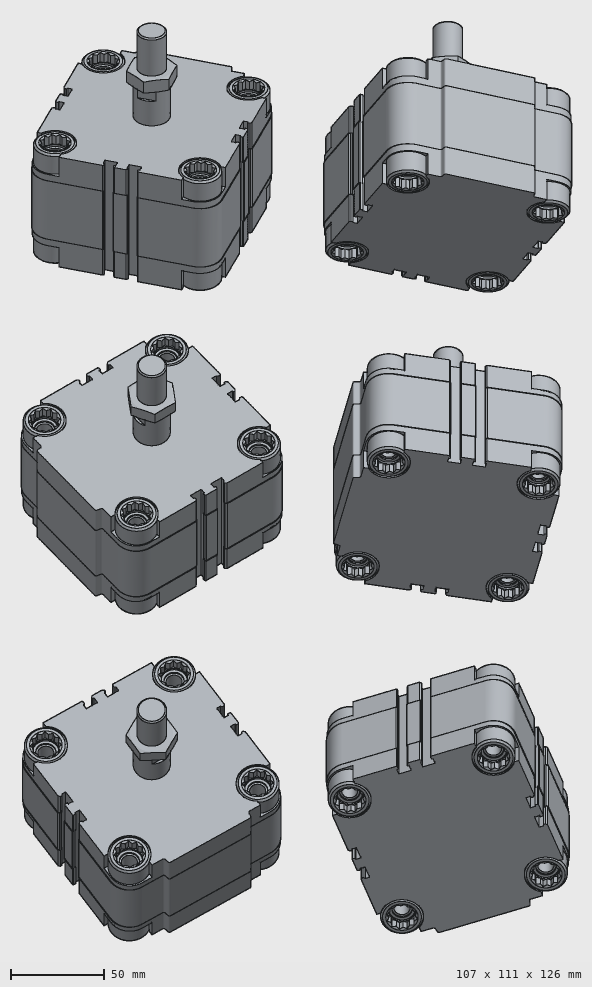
import cadquery as cq
import math


housing_height = 71.1
cap_height = 16.6
barrel_height = housing_height - 2 * cap_height
overall_height = 126

barrel_width = 107.0
barrel_depth = 107.0
cap_width = 106.1
cap_depth = 106.8
barrel_corner_radius = 12.5
cap_corner_radius = 12.1

barrel_pad_face = 57.5
cap_pad_face = 57.3
pad_foot_half_width = 27.0
pad_top_half_width = 26.2
pad_root = 50.4
pad_edge_radius = 1.0

slot_inner = 3.3
slot_outer = 10.3
mouth_inner = 4.2
mouth_outer = 9.5
slot_floor = 48.3
lip_thickness = 1.9
lip_slope = 0.5
slot_overshoot = 1.3
small_edge_chamfer = 0.44
large_edge_chamfer = 0.9

screw_spacing = 81.9
screw_offset = screw_spacing / 2
head_diameter = 23.0
head_height = 12.5
head_chamfer = 1.1
pocket_inset = 6.3
pocket_reach = 25.2
bore_diameter = 8.6
bore_mouth_diameter = 10.8
bore_mouth_depth = 1.0
socket_depth = 7.3
socket_teeth_depth = 6.0
socket_tip_diameter = 16.5
socket_valley_diameter = 14.1
socket_mouth_diameter = 17.4
socket_mouth_depth = 0.6
socket_teeth = 12

rod_bottom = cap_height + barrel_height
rod_diameter = 20.0
thread_diameter = 16.0
thread_chamfer = 0.82
flat_bottom = 87
flat_spacing = 17.0
nut_bottom = 94.0
nut_height = 8.0
nut_across_flats = 24
hexagon_half_angle = 30
nut_across_corners = nut_across_flats / math.cos(math.radians(hexagon_half_angle))
nut_face_diameter = 23.0
nut_chamfer_rise = 0.5


def slot_cutter(face, rib_chamfer, edge_chamfer, height):
    """One T-slot opening toward -Y through the given face, on the +X side of the middle."""
    lip = face - lip_thickness
    outside = face + slot_overshoot
    outline = [
        (slot_inner, -slot_floor),
        (slot_inner, -lip),
        (mouth_inner, -lip),
        (mouth_inner, -(face - rib_chamfer)),
        (mouth_inner - rib_chamfer, -face),
        (mouth_inner - rib_chamfer, -outside),
        (mouth_outer + edge_chamfer, -outside),
        (mouth_outer + edge_chamfer, -face),
        (mouth_outer, -(face - edge_chamfer)),
        (mouth_outer, -lip),
        (slot_outer, -(lip - lip_slope)),
        (slot_outer, -slot_floor),
    ]
    return cq.Workplane("XY").polyline(outline).close().extrude(height)


def slot_pair(face, rib_chamfer, edge_chamfer, height, turn):
    """Two mirrored T-slots, turned about Z from the -Y face to another face."""
    slot = slot_cutter(face, rib_chamfer, edge_chamfer, height)
    return slot.union(slot.mirror("YZ")).rotate((0, 0, 0), (0, 0, 1), turn)


def at_screws(workplane):
    """The four screw axes on a workplane."""
    return workplane.rect(screw_spacing, screw_spacing, forConstruction=True).vertices()


def housing_section(width, depth, pad_face, corner_radius, front_rib_chamfer, height):
    """A length of the housing with its corners, pad, T-slots and screw bores, from Z = 0 up."""
    front_face = depth / 2
    block = cq.Workplane("XY").rect(width, depth).extrude(height)
    block = block.edges("|Z").fillet(corner_radius)

    pad_outline = [
        (-pad_foot_half_width, pad_root),
        (-pad_foot_half_width, front_face),
        (-pad_top_half_width, pad_face),
        (pad_top_half_width, pad_face),
        (pad_foot_half_width, front_face),
        (pad_foot_half_width, pad_root),
    ]
    block = block.union(cq.Workplane("XY").polyline(pad_outline).close().extrude(height))
    pad_margin = 1.3
    pad_edges = cq.selectors.BoxSelector(
        (-pad_foot_half_width - pad_margin, front_face - pad_margin, -pad_margin),
        (pad_foot_half_width + pad_margin, pad_face + pad_margin, height + pad_margin),
    )
    block = block.edges("|Z").edges(pad_edges).fillet(pad_edge_radius)

    block = block.cut(slot_pair(front_face, front_rib_chamfer, small_edge_chamfer, height, 0))
    for turn in (-90, 90):
        block = block.cut(slot_pair(width / 2, small_edge_chamfer, large_edge_chamfer, height, turn))

    bores = at_screws(cq.Workplane("XY")).circle(bore_diameter / 2).extrude(height)
    return block.cut(bores)


def corner_pockets():
    """Clearance around the screw heads, open at the corners of the cap."""
    floor = cap_height - head_height
    box_spacing = 2 * (screw_offset - pocket_inset) + pocket_reach
    boxes = (
        cq.Workplane("XY", origin=(0, 0, floor))
        .rect(box_spacing, box_spacing, forConstruction=True)
        .vertices()
        .rect(pocket_reach, pocket_reach)
        .extrude(head_height)
    )
    rounds = (
        at_screws(cq.Workplane("XY", origin=(0, 0, floor)))
        .circle(head_diameter / 2)
        .extrude(head_height)
    )
    return boxes.union(rounds)


def socket_outline():
    """Points of a twelve-tooth star, alternating between tips and valleys."""
    points = []
    for index in range(2 * socket_teeth):
        diameter = socket_tip_diameter if index % 2 == 0 else socket_valley_diameter
        angle = math.pi * index / socket_teeth
        points.append((diameter / 2 * math.cos(angle), diameter / 2 * math.sin(angle)))
    return points


def screw_head():
    """Screw head with a toothed socket, a round socket base and a through bore, its top at the cap face."""
    head = (
        cq.Workplane("XY", origin=(0, 0, cap_height - head_height))
        .circle(head_diameter / 2)
        .extrude(head_height)
        .faces(">Z")
        .chamfer(head_chamfer)
    )
    top = cq.Workplane("XY", origin=(0, 0, cap_height))
    socket = top.polyline(socket_outline()).close().extrude(-socket_teeth_depth)
    socket_base = top.circle(socket_valley_diameter / 2).extrude(-socket_depth)
    socket_mouth = (
        top.circle(socket_mouth_diameter / 2)
        .workplane(offset=-socket_mouth_depth)
        .circle(socket_valley_diameter / 2)
        .loft()
    )
    bore_mouth = top.circle(bore_mouth_diameter / 2).extrude(-(socket_depth + bore_mouth_depth))
    bore = top.circle(bore_diameter / 2).extrude(-head_height)
    for cutter in (socket, socket_base, socket_mouth, bore_mouth, bore):
        head = head.cut(cutter)
    return head


def end_cap():
    """End cap with its screw heads, inner face at Z = 0 and outer face upward."""
    cap = housing_section(
        cap_width, cap_depth, cap_pad_face, cap_corner_radius, large_edge_chamfer, cap_height
    )
    cap = cap.cut(corner_pockets())
    head = screw_head()
    for x in (-screw_offset, screw_offset):
        for y in (-screw_offset, screw_offset):
            cap = cap.union(head.translate((x, y, 0)))
    return cap


def cylinder_housing():
    """Rear cap, barrel and front cap in one piece, with a blind guide hole for the rod."""
    cap = end_cap()
    rear = cap.mirror("XY").translate((0, 0, cap_height))
    barrel = housing_section(
        barrel_width,
        barrel_depth,
        barrel_pad_face,
        barrel_corner_radius,
        small_edge_chamfer,
        barrel_height,
    )
    barrel = barrel.translate((0, 0, cap_height))
    front = cap.translate((0, 0, rod_bottom))
    rod_guide = (
        cq.Workplane("XY", origin=(0, 0, rod_bottom)).circle(rod_diameter / 2).extrude(cap_height)
    )
    return rear.union(barrel).union(front).cut(rod_guide)


def piston_rod():
    """Rod standing in its guide hole, with wrench flats and a thread end."""
    shank = (
        cq.Workplane("XY", origin=(0, 0, rod_bottom))
        .circle(rod_diameter / 2)
        .extrude(nut_bottom - rod_bottom)
    )
    flat_zone = cq.Workplane("XY", origin=(0, 0, flat_bottom)).rect(rod_diameter, rod_diameter)
    flat_zone = flat_zone.extrude(nut_bottom - flat_bottom)
    between_flats = cq.Workplane("XY", origin=(0, 0, flat_bottom)).rect(rod_diameter, flat_spacing)
    between_flats = between_flats.extrude(nut_bottom - flat_bottom)
    shank = shank.cut(flat_zone.cut(between_flats))

    thread = (
        cq.Workplane("XY", origin=(0, 0, nut_bottom))
        .circle(thread_diameter / 2)
        .extrude(overall_height - nut_bottom)
        .faces(">Z")
        .chamfer(thread_chamfer)
    )
    return shank.union(thread)


def hexagon_nut():
    """Hexagon nut with flats toward +X and -X, chamfered at both ends by cones."""
    hexagon = (
        cq.Workplane("XY", origin=(0, 0, nut_bottom))
        .polygon(6, nut_across_corners)
        .extrude(nut_height)
        .rotate((0, 0, 0), (0, 0, 1), hexagon_half_angle)
    )
    envelope = (
        cq.Workplane("XZ")
        .moveTo(0, nut_bottom)
        .lineTo(nut_face_diameter / 2, nut_bottom)
        .lineTo(nut_across_corners / 2, nut_bottom + nut_chamfer_rise)
        .lineTo(nut_across_corners / 2, nut_bottom + nut_height - nut_chamfer_rise)
        .lineTo(nut_face_diameter / 2, nut_bottom + nut_height)
        .lineTo(0, nut_bottom + nut_height)
        .close()
        .revolve(360, (0, 0), (0, 1))
    )
    thread_hole = (
        cq.Workplane("XY", origin=(0, 0, nut_bottom)).circle(thread_diameter / 2).extrude(nut_height)
    )
    return hexagon.intersect(envelope).cut(thread_hole)


housing = cylinder_housing()
rod = piston_rod()
nut = hexagon_nut()

result = cq.Compound.makeCompound([housing.val(), rod.val(), nut.val()])